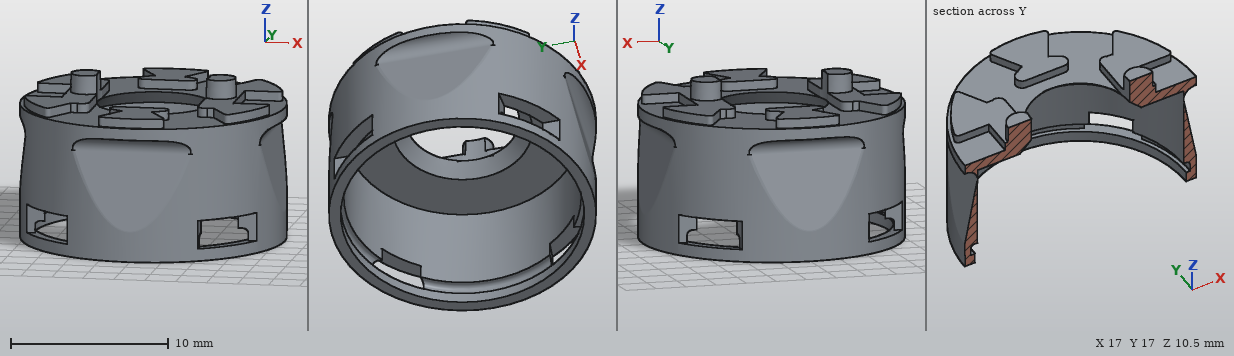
import cadquery as cq
import math

body_height = 8.65
pad_height = 0.6
pin_height = 1.2
roof_thickness = 0.85

outer_radius = 8.5
hole_radius = 3.6
cavity_radius = 7.55
rim_bore_radius = 7.75

groove_radius = 8.05
groove_bottom = 0.8
groove_top = 1.6
groove_corner_radius = 0.3

window_inset_x = 4.23
window_mouth_y = 4.12
window_wall_tilt = math.radians(5)
window_bottom = groove_bottom
window_top = 2.62

dimple_round_radius = 0.8
dimple_depth = 0.91
dimple_top = 7.9
dimple_slope = math.radians(10.2)
dimple_edge_radius = 0.4

pad_outer_radius = 8.25
pad_corner_radius = 0.25
pad_side_slope = math.radians(30)

dovetail_inner_y = 4.5
dovetail_neck_y = 5.79
dovetail_neck_half_width = 0.97
toe_radius = 0.48

bracket_inner_x = 3.5
bracket_half_width = 3.92
bracket_toe_start_x = 4.2
notch_floor_x = 5.54
notch_half_width = 2.05
wing_root_x = 4.62

pin_center_x = 4.32
pin_base_radius = 1.02
pin_taper_degrees = 1.5

quarter_turns = (0, 90, 180, 270)
half_turns = (0, 180)
pad_top = body_height + pad_height

beyond = outer_radius + 1
margin = 0.1

half_arc = math.sqrt(0.5)

round_center_x = outer_radius - dimple_depth + dimple_round_radius
round_center_z = dimple_top - dimple_round_radius
tangent_x = round_center_x - dimple_round_radius * math.cos(dimple_slope)
tangent_z = round_center_z - dimple_round_radius * math.sin(dimple_slope)
flat_foot_z = tangent_z - (beyond - tangent_x) / math.tan(dimple_slope)


def disc(radius, bottom, top):
    return cq.Workplane("XY").workplane(offset=bottom).circle(radius).extrude(top - bottom)


def around_axis(shape, angles):
    """Yield copies of the shape turned about the Z axis."""
    for angle in angles:
        yield shape.rotate((0, 0, 0), (0, 0, 1), angle)


def make_interior():
    """Space inside the cup; the roof hole flares at 45 degrees towards the cavity."""
    roof_bottom = body_height - roof_thickness
    groove = disc(groove_radius, groove_bottom, groove_top)
    groove = groove.faces(">Z").edges().fillet(groove_corner_radius)
    flare = (
        cq.Workplane("XZ")
        .moveTo(0, body_height)
        .lineTo(hole_radius, body_height)
        .lineTo(hole_radius + roof_thickness, roof_bottom)
        .lineTo(0, roof_bottom)
        .close()
        .revolve(360, (0, 0, 0), (0, 1, 0))
    )
    rim_bore = disc(rim_bore_radius, 0, groove_bottom)
    cavity = disc(cavity_radius, groove_bottom, roof_bottom)
    return rim_bore.union(cavity).union(groove).union(flare)


def make_window():
    """Cutter in the +X +Y corner; the wall that faces +Y leans slightly, the other is parallel to Y."""
    mouth_x = math.sqrt(outer_radius**2 - window_mouth_y**2)
    slope = math.tan(window_wall_tilt)
    corner_y = window_mouth_y + (mouth_x - window_inset_x) * slope
    end_y = window_mouth_y - (beyond - mouth_x) * slope
    return (
        cq.Workplane("XY")
        .workplane(offset=window_bottom)
        .moveTo(window_inset_x, corner_y)
        .lineTo(beyond, end_y)
        .lineTo(beyond, beyond)
        .lineTo(window_inset_x, beyond)
        .close()
        .extrude(window_top - window_bottom)
    )


def make_flat():
    """Cutter on the +X side for the sloped flat of a dimple, up to where its round starts."""
    return (
        cq.Workplane("XZ")
        .moveTo(beyond, flat_foot_z)
        .lineTo(tangent_x, tangent_z)
        .lineTo(beyond, tangent_z)
        .close()
        .extrude(outer_radius, both=True)
    )


def make_round():
    """Cutter on the +X side for the round that ends a dimple under the roof."""
    reach = dimple_round_radius * half_arc
    return (
        cq.Workplane("XZ")
        .moveTo(beyond, tangent_z)
        .lineTo(tangent_x, tangent_z)
        .threePointArc((round_center_x - reach, round_center_z + reach), (round_center_x, dimple_top))
        .lineTo(beyond, dimple_top)
        .close()
        .extrude(outer_radius, both=True)
    )


def make_outer_body():
    """Solid cylinder with a finger dimple on each side, softened along the edges of the flats."""
    skirt = disc(outer_radius, 0, tangent_z)
    for flat in around_axis(make_flat(), quarter_turns):
        skirt = skirt.cut(flat)
    skirt = skirt.edges("%ELLIPSE").fillet(dimple_edge_radius)
    collar = disc(outer_radius, tangent_z, body_height)
    for cutter in around_axis(make_round(), quarter_turns):
        collar = collar.cut(cutter)
    return skirt.union(collar)


def make_dovetail():
    """Pad on the +Y side, flared outwards and with two rounded toes."""
    flank_run = (beyond - dovetail_neck_y) * math.tan(pad_side_slope)
    toe_run = (dovetail_neck_y - dovetail_inner_y) / math.tan(pad_side_slope)
    outer_half_width = dovetail_neck_half_width + flank_run
    toe_half_width = dovetail_neck_half_width + toe_run
    pad = (
        cq.Workplane("XY")
        .workplane(offset=body_height)
        .polyline(
            [
                (-toe_half_width, dovetail_inner_y),
                (toe_half_width, dovetail_inner_y),
                (dovetail_neck_half_width, dovetail_neck_y),
                (outer_half_width, beyond),
                (-outer_half_width, beyond),
                (-dovetail_neck_half_width, dovetail_neck_y),
            ]
        )
        .close()
        .extrude(pad_height)
        .intersect(disc(pad_outer_radius, body_height, pad_top))
    )
    pad = pad.edges("|Z and (<X or >X)").fillet(toe_radius)
    outer_zone = cq.selectors.BoxSelector((-beyond, dovetail_neck_y + margin, 0), (beyond, beyond, beyond))
    return pad.edges("|Z").edges(outer_zone).fillet(pad_corner_radius)


def make_bracket():
    """Notched pad on the +X side with a pointed wing at each end."""
    wing_run = (beyond - bracket_half_width) * math.tan(pad_side_slope)
    wing_tip_x = wing_root_x + wing_run
    toe_x = bracket_inner_x + toe_radius
    toe_y = bracket_half_width - math.sqrt(toe_radius**2 - (bracket_toe_start_x - toe_x) ** 2)
    reach = toe_radius * half_arc
    pad = (
        cq.Workplane("XY")
        .workplane(offset=body_height)
        .moveTo(notch_floor_x, 0)
        .lineTo(notch_floor_x, notch_half_width)
        .lineTo(beyond, notch_half_width)
        .lineTo(beyond, beyond)
        .lineTo(wing_tip_x, beyond)
        .lineTo(wing_root_x, bracket_half_width)
        .lineTo(bracket_toe_start_x, bracket_half_width)
        .threePointArc((toe_x - reach, toe_y + reach), (bracket_inner_x, toe_y))
        .lineTo(bracket_inner_x, 0)
        .mirrorX()
        .extrude(pad_height)
        .intersect(disc(pad_outer_radius, body_height, pad_top))
    )
    outer_zone = cq.selectors.BoxSelector((notch_floor_x + margin, -beyond, 0), (beyond, beyond, beyond))
    return pad.edges("|Z").edges(outer_zone).fillet(pad_corner_radius)


def make_pin():
    """Slightly tapered pin that stands on the +X bracket."""
    return (
        cq.Workplane("XY")
        .workplane(offset=pad_top)
        .center(pin_center_x, 0)
        .circle(pin_base_radius)
        .extrude(pin_height, taper=pin_taper_degrees)
    )


result = make_outer_body().cut(make_interior())
window = make_window()
for cutter in (window, window.mirror("XZ"), window.mirror("YZ"), window.mirror("XZ").mirror("YZ")):
    result = result.cut(cutter)

for dovetail in around_axis(make_dovetail(), half_turns):
    result = result.union(dovetail)
for bracket in around_axis(make_bracket().union(make_pin()), half_turns):
    result = result.union(bracket)
result = result.cut(disc(hole_radius, body_height, pad_top + pin_height))